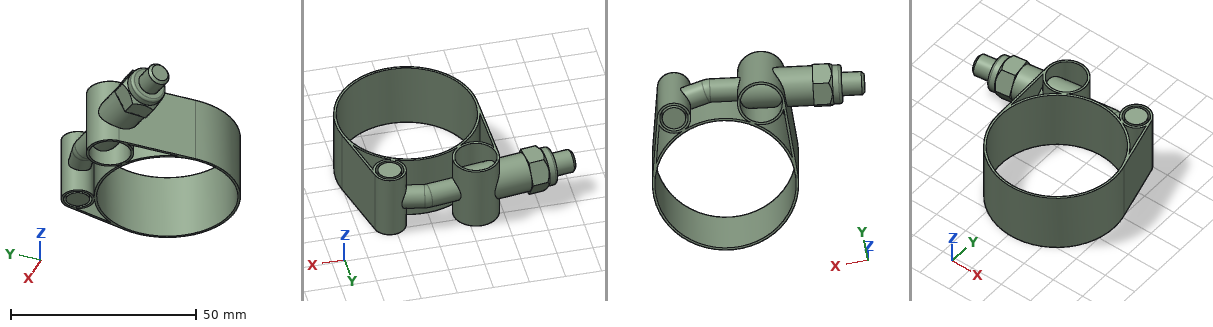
import cadquery as cq
import math

overall_length = 61.7

strap_width = 19.05
strap_thickness = 0.7
band_radius = 38.1 / 2 + strap_thickness
big_loop_radius = 11.4 / 2 + strap_thickness
small_loop_radius = 7.65 / 2 + strap_thickness
loop_y = 22.0
loop_overlap = 0.05

rod_radius = 6.35 / 2
bolt_tilt = 7.6
bend_x = 0.25
bend_radius = 3.3
tip_chamfer = 0.75

collar_distance = 21.85
nut_start_distance = 19.4
nut_end_distance = 14.1

sleeve_radius = 10.8 / 2
collar_radius = 10.55 / 2
collar_fillet = 0.75
nut_across_flats = 11.0
nut_corner_diameter = nut_across_flats / math.cos(math.radians(30))


def loop_x(loop_radius):
    """Sideways distance of a loop pressed slightly into the outside of the band."""
    return math.sqrt((band_radius + loop_radius - loop_overlap) ** 2 - loop_y ** 2)


big_loop = (-loop_x(big_loop_radius), loop_y)
small_loop = (loop_x(small_loop_radius), loop_y)

tilt = math.radians(bolt_tilt)
tip_rim_x = band_radius - overall_length
tip_x = tip_rim_x + (rod_radius - tip_chamfer) * math.sin(tilt)
tip = (tip_x, big_loop[1] + (tip_x - big_loop[0]) * math.tan(tilt))


def disc(center, radius):
    """Cylinder over the full strap width, centred on the XY plane."""
    return cq.Workplane("XY").center(*center).circle(radius).extrude(strap_width / 2, both=True)


def tangent_leg(loop_center, loop_radius, side):
    """Straight strap run touching the loop and the band; side is -1 for left, +1 for right."""
    center_angle = math.atan2(loop_center[1], loop_center[0])
    spread = math.acos((band_radius - loop_radius) / math.hypot(*loop_center))
    normal_angle = center_angle - side * spread
    nx = math.cos(normal_angle)
    ny = math.sin(normal_angle)
    inner_band = band_radius - strap_thickness
    inner_loop = loop_radius - strap_thickness
    corners = [
        (band_radius * nx, band_radius * ny),
        (loop_center[0] + loop_radius * nx, loop_center[1] + loop_radius * ny),
        (loop_center[0] + inner_loop * nx, loop_center[1] + inner_loop * ny),
        (inner_band * nx, inner_band * ny),
    ]
    return cq.Workplane("XY").polyline(corners).close().extrude(strap_width / 2, both=True)


def make_strap():
    strap = disc((0, 0), band_radius)
    strap = strap.union(disc(big_loop, big_loop_radius))
    strap = strap.union(disc(small_loop, small_loop_radius))
    strap = strap.union(tangent_leg(big_loop, big_loop_radius, -1))
    strap = strap.union(tangent_leg(small_loop, small_loop_radius, 1))
    strap = strap.cut(disc((0, 0), band_radius - strap_thickness))
    strap = strap.cut(disc(big_loop, big_loop_radius - strap_thickness))
    return strap.cut(disc(small_loop, small_loop_radius - strap_thickness))


def make_rod():
    """Bolt rod swept along a straight run, a rounded bend and a second straight run to the pin."""
    corner = (bend_x, big_loop[1] + (bend_x - big_loop[0]) * math.tan(tilt))
    drop = math.atan2(corner[1] - small_loop[1], small_loop[0] - corner[0])
    half_turn = (tilt + drop) / 2
    trim = bend_radius * math.tan(half_turn)
    middle_gap = bend_radius / math.cos(half_turn) - bend_radius
    middle_angle = (tilt - drop) / 2 - math.pi / 2

    bend_start = (corner[0] - trim * math.cos(tilt), corner[1] - trim * math.sin(tilt))
    bend_middle = (
        corner[0] + middle_gap * math.cos(middle_angle),
        corner[1] + middle_gap * math.sin(middle_angle),
    )
    bend_end = (corner[0] + trim * math.cos(drop), corner[1] - trim * math.sin(drop))

    path = cq.Workplane("XY").moveTo(*tip).lineTo(*bend_start)
    path = path.threePointArc(bend_middle, bend_end).lineTo(*small_loop)
    tip_plane = cq.Plane(
        origin=(tip[0], tip[1], 0),
        xDir=(0, 0, 1),
        normal=(math.cos(tilt), math.sin(tilt), 0),
    )
    rod = cq.Workplane(tip_plane).circle(rod_radius).sweep(path)
    return rod.faces("<X").chamfer(tip_chamfer)


def place_on_bolt(body):
    """Move a body built along X about the origin onto the bolt axis."""
    return body.rotate((0, 0, 0), (0, 0, 1), bolt_tilt).translate((big_loop[0], big_loop[1], 0))


def bar_along_x(start, end, radius):
    """Cylinder along X between two positions."""
    return cq.Workplane("YZ").workplane(offset=start).circle(radius).extrude(end - start)


def make_sleeve():
    """Sleeve through the big loop, its far end following the outside of the loop."""
    inside_loop = cq.Workplane("XY").circle(big_loop_radius).extrude(strap_width / 2, both=True)
    end_part = bar_along_x(0, big_loop_radius, sleeve_radius).intersect(inside_loop)
    return place_on_bolt(bar_along_x(-nut_end_distance, 0, sleeve_radius).union(end_part))


def make_nut():
    """Hexagon nut with a rounded collar; the collar-side corners are chamfered at 45 degrees."""
    length = nut_start_distance - nut_end_distance
    hexagon = cq.Workplane("YZ").workplane(offset=-nut_start_distance)
    hexagon = hexagon.polygon(6, nut_corner_diameter).extrude(length)
    cone_side = [
        (-nut_start_distance, 0),
        (-nut_start_distance, collar_radius),
        (-nut_end_distance, collar_radius + length),
        (-nut_end_distance, 0),
    ]
    cone = cq.Workplane("XY").polyline(cone_side).close().revolve(360, (0, 0, 0), (1, 0, 0))
    collar = bar_along_x(-collar_distance, -nut_end_distance, collar_radius)
    collar = collar.faces("<X").edges().fillet(collar_fillet)
    return place_on_bolt(hexagon.intersect(cone).union(collar))


cross_pin = disc(small_loop, rod_radius)
result = make_strap().union(make_sleeve()).union(make_nut()).union(make_rod()).union(cross_pin)